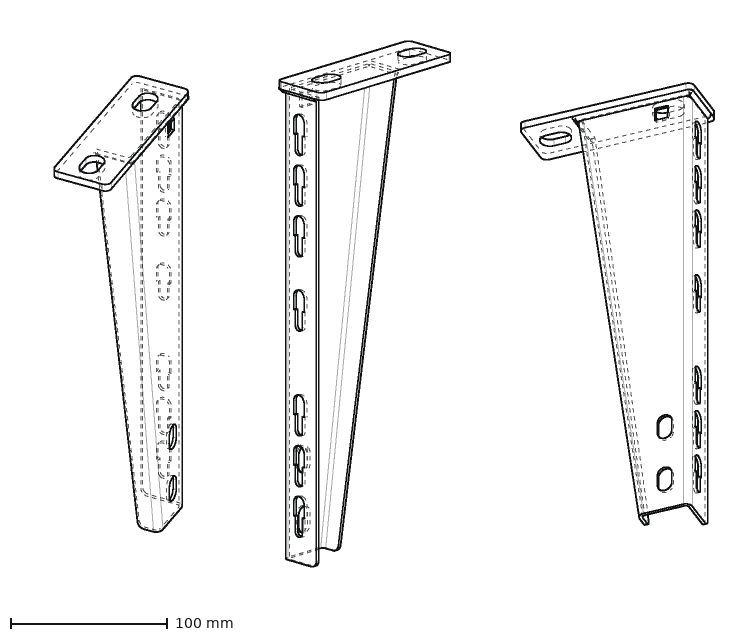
import cadquery as cq
import math

plate_width = 40.0
plate_length = 120.0
plate_thickness = 5.0
plate_corner_radius = 4.2
plate_slot_width = 12.8
plate_slot_length = 20.8
plate_slot_ys = (35.2, -43.0)
total_height = 320.3

sheet = 2.2
inner_bend_radius = 2.2
channel_width = 30.0
bottom_depth = 36.5
top_depth = 78.8
weld_leg = 2.72
weld_taper = -45
flange_corner_radius = 4.8
front_flange_bottom_width = 15.5
front_flange_top_width = 25.3

keyhole_from_edge = 15.7
keyhole_wide = 9.3
keyhole_narrow = 6.5
keyhole_upper_height = 13.8
keyhole_lower_height = 13.5
keyhole_pitch = 34.0
first_step_z = 31.0
middle_step_z = 169.0
upper_group_step_z = 218.8
keyholes_per_group = 3

web_slot_width = 10.0
web_slot_length = 17.5
web_slot_y = 40.0
web_slot_zs = (23.0, 63.0)
square_side = 9.0
square_y = 37.8
square_z = 304.0

plate_bottom = total_height - plate_thickness
outer_bend_radius = inner_bend_radius + sheet
web_x = plate_width / 2 - weld_leg
open_x = web_x - channel_width
back_y = plate_length / 2 - weld_leg
front_bottom_y = back_y - bottom_depth
front_top_y = back_y - top_depth
slope = math.atan2(top_depth - bottom_depth, plate_bottom)
web_bottom = sheet * math.sin(slope)
split_y = back_y - 2 * sheet
keyhole_x = open_x + keyhole_from_edge
clear = 3.2


def make_plate():
    """Flat head plate with rounded corners and two mounting slots."""
    plate = (
        cq.Workplane("XY", origin=(0, 0, plate_bottom))
        .rect(plate_width, plate_length)
        .extrude(plate_thickness)
        .edges("|Z")
        .fillet(plate_corner_radius)
    )
    slots = (
        cq.Workplane("XY", origin=(0, 0, plate_bottom))
        .pushPoints([(0, y) for y in plate_slot_ys])
        .slot2D(plate_slot_length, plate_slot_width, 90)
        .extrude(plate_thickness)
    )
    return plate.cut(slots)


def channel_prism(inset, bend_radius):
    """Solid wedge inside the channel's outer faces, moved inward by inset, with rounded bends."""
    slant_inset = inset / math.cos(slope)
    run = math.tan(slope)
    low, high = -clear, plate_bottom
    return (
        cq.Workplane("YZ", origin=(open_x - clear, 0, 0))
        .polyline([
            (back_y - inset, low),
            (front_bottom_y + slant_inset - low * run, low),
            (front_bottom_y + slant_inset - high * run, high),
            (back_y - inset, high),
        ])
        .close()
        .extrude(channel_width + clear - inset)
        .faces(">X")
        .edges("not |Y")
        .fillet(bend_radius)
    )


def flange_outline(bottom_width, top_width, bottom_z, y_low, y_high):
    """Block that trims one flange to its width and rounds its lower free corner."""
    return (
        cq.Workplane("XZ", origin=(0, y_high, 0))
        .polyline([
            (web_x - bottom_width, bottom_z),
            (web_x, bottom_z),
            (web_x, plate_bottom),
            (web_x - top_width, plate_bottom),
        ])
        .close()
        .extrude(y_high - y_low)
        .edges("|Y")
        .edges(cq.selectors.NearestToPointSelector((web_x - bottom_width, y_low, bottom_z)))
        .fillet(flange_corner_radius)
    )


def side_outline():
    """Block with the lower end of the web level and that of the front flange square to its slope."""
    inner_bottom_y = front_bottom_y + sheet * math.cos(slope)
    return (
        cq.Workplane("YZ", origin=(open_x - clear, 0, 0))
        .polyline([
            (back_y, web_bottom),
            (inner_bottom_y, web_bottom),
            (front_bottom_y, 0),
            (front_top_y, plate_bottom),
            (back_y, plate_bottom),
        ])
        .close()
        .extrude(channel_width + clear)
    )


def make_keyhole(step_z):
    """Keyhole cutter through the back flange: wide above the step, narrow below it."""
    wide_half = keyhole_wide / 2
    narrow_half = keyhole_narrow / 2
    wide_straight = keyhole_upper_height - wide_half
    narrow_straight = keyhole_lower_height - narrow_half
    return (
        cq.Workplane("XZ", origin=(keyhole_x, back_y + clear, step_z))
        .moveTo(-wide_half, 0)
        .lineTo(-wide_half, wide_straight)
        .threePointArc((0, keyhole_upper_height), (wide_half, wide_straight))
        .lineTo(wide_half, 0)
        .lineTo(narrow_half, 0)
        .lineTo(narrow_half, -narrow_straight)
        .threePointArc((0, -keyhole_lower_height), (-narrow_half, -narrow_straight))
        .lineTo(-narrow_half, 0)
        .close()
        .extrude(sheet + 2 * clear)
    )


def make_web_holes():
    """Cutters for the two slots and the square hole in the web."""
    web_plane = cq.Workplane("YZ", origin=(web_x - sheet - clear, 0, 0))
    depth = sheet + 2 * clear
    slots = (
        web_plane.pushPoints([(web_slot_y, z) for z in web_slot_zs])
        .slot2D(web_slot_length, web_slot_width, 90)
        .extrude(depth)
    )
    square = web_plane.center(square_y, square_z).rect(square_side, square_side).extrude(depth)
    return slots.union(square)


def weld_trim(width, y_low, y_high):
    """Block that keeps the bead over one flange's width, measured from the web."""
    return (
        cq.Workplane("XY")
        .box(width + weld_leg, y_high - y_low, total_height, centered=False)
        .translate((web_x - width, y_low, 0))
    )


def make_weld():
    """Triangular bead under the plate, around the outside of both flanges and the web."""
    weld_bottom = plate_bottom - weld_leg
    front_y = front_top_y + weld_leg * math.tan(slope)
    wide_x = 2 * channel_width
    block = (
        cq.Workplane("XY", origin=(web_x - wide_x / 2, (back_y + front_y) / 2, weld_bottom))
        .rect(wide_x, back_y - front_y)
        .extrude(weld_leg, taper=weld_taper)
    )
    bead = block.cut(channel_prism(0, outer_bend_radius))
    back_trim = weld_trim(channel_width, split_y, plate_length)
    front_trim = weld_trim(front_flange_top_width, -plate_length, split_y)
    return bead.intersect(back_trim.union(front_trim))


def make_channel():
    """Folded sheet with its keyholes, web holes and the weld bead."""
    shell = channel_prism(0, outer_bend_radius).cut(channel_prism(sheet, inner_bend_radius))
    back = flange_outline(channel_width, channel_width, web_bottom, split_y, back_y)
    front = flange_outline(
        front_flange_bottom_width, front_flange_top_width, 0, front_top_y, split_y
    )
    channel = shell.intersect(side_outline()).intersect(back.union(front))

    steps = [middle_step_z]
    for group_z in (first_step_z, upper_group_step_z):
        steps += [group_z + i * keyhole_pitch for i in range(keyholes_per_group)]
    for step_z in steps:
        channel = channel.cut(make_keyhole(step_z))

    return channel.cut(make_web_holes()).union(make_weld())


plate = make_plate()
channel = make_channel()
result = cq.Compound.makeCompound([plate.val(), *channel.vals()])